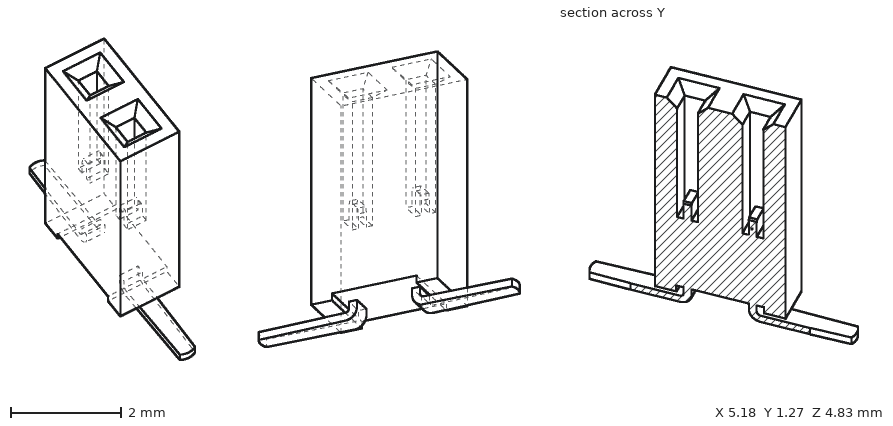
import cadquery as cq
import math

pitch = 1.27
contact_count = 2
body_length = contact_count * pitch
body_width = pitch
overall_length = 5.18
overall_height = 4.83
standoff = 0.23
foot_length = 0.42
foot_height = 0.14

mouth_size = 0.80
socket_size = 0.40
mouth_depth = 0.20
socket_depth = 2.80

strip_thickness = 0.16
strip_width = socket_size
bend_inner_radius = 0.07
tail_tip_width = 0.33
tail_tip_bulge = 0.045
blade_tip_width = 0.33
blade_tip_height = 0.10
blade_rise = 0.40

bend_outer_radius = bend_inner_radius + strip_thickness
recess_top = standoff + foot_height
socket_floor = overall_height - socket_depth
blade_top = socket_floor + blade_rise
contact_x = pitch / 2
blade_outer_x = contact_x + strip_thickness / 2
blade_inner_x = contact_x - strip_thickness / 2
bend_end_x = blade_inner_x + bend_outer_radius
tail_end_x = overall_length / 2


def make_housing():
    """Block standing on a foot at each end."""
    block = cq.Workplane("XY").workplane(offset=standoff).rect(body_length, body_width).extrude(
        overall_height - standoff
    )
    recess = cq.Workplane("XY").workplane(offset=standoff).rect(
        body_length - 2 * foot_length, body_width
    ).extrude(foot_height)
    return block.cut(recess)


def make_socket(x):
    """Square socket with a tapered lead-in mouth."""
    top = cq.Workplane("XY", origin=(x, 0, overall_height))
    mouth = (
        top.rect(mouth_size, mouth_size)
        .workplane(offset=-mouth_depth)
        .rect(socket_size, socket_size)
        .loft(ruled=True)
    )
    shaft = top.rect(socket_size, socket_size).extrude(-socket_depth)
    return mouth.union(shaft)


def make_blade():
    """Upright part of the contact, bevelled at its upper end."""
    half_width = strip_width / 2
    half_tip = blade_tip_width / 2
    return (
        cq.Workplane("YZ", origin=(blade_inner_x, 0, 0))
        .moveTo(-half_width, bend_outer_radius)
        .lineTo(half_width, bend_outer_radius)
        .lineTo(half_width, blade_top - blade_tip_height)
        .lineTo(half_tip, blade_top)
        .lineTo(-half_tip, blade_top)
        .lineTo(-half_width, blade_top - blade_tip_height)
        .close()
        .extrude(strip_thickness)
    )


def make_bend():
    """Quarter-turn between the upright blade and the flat tail."""
    diagonal = math.sqrt(0.5)
    outer_mid = (
        bend_end_x - bend_outer_radius * diagonal,
        bend_outer_radius * (1 - diagonal),
    )
    inner_mid = (
        bend_end_x - bend_inner_radius * diagonal,
        bend_outer_radius - bend_inner_radius * diagonal,
    )
    return (
        cq.Workplane("XZ")
        .moveTo(blade_inner_x, bend_outer_radius)
        .threePointArc(outer_mid, (bend_end_x, 0))
        .lineTo(bend_end_x, strip_thickness)
        .threePointArc(inner_mid, (blade_outer_x, bend_outer_radius))
        .close()
        .extrude(strip_width / 2, both=True)
    )


def make_tail():
    """Flat solder tail, tapering outwards to a rounded end."""
    half_width = strip_width / 2
    half_tip = tail_tip_width / 2
    corner_x = tail_end_x - tail_tip_bulge
    return (
        cq.Workplane("XY")
        .moveTo(bend_end_x, -half_width)
        .lineTo(corner_x, -half_tip)
        .threePointArc((tail_end_x, 0), (corner_x, half_tip))
        .lineTo(bend_end_x, half_width)
        .close()
        .extrude(strip_thickness)
    )


housing = make_housing()
for side in (-1, 1):
    housing = housing.cut(make_socket(side * contact_x))

right_contact = make_blade().union(make_bend()).union(make_tail())
left_contact = right_contact.mirror("YZ")

result = housing.union(right_contact).union(left_contact)